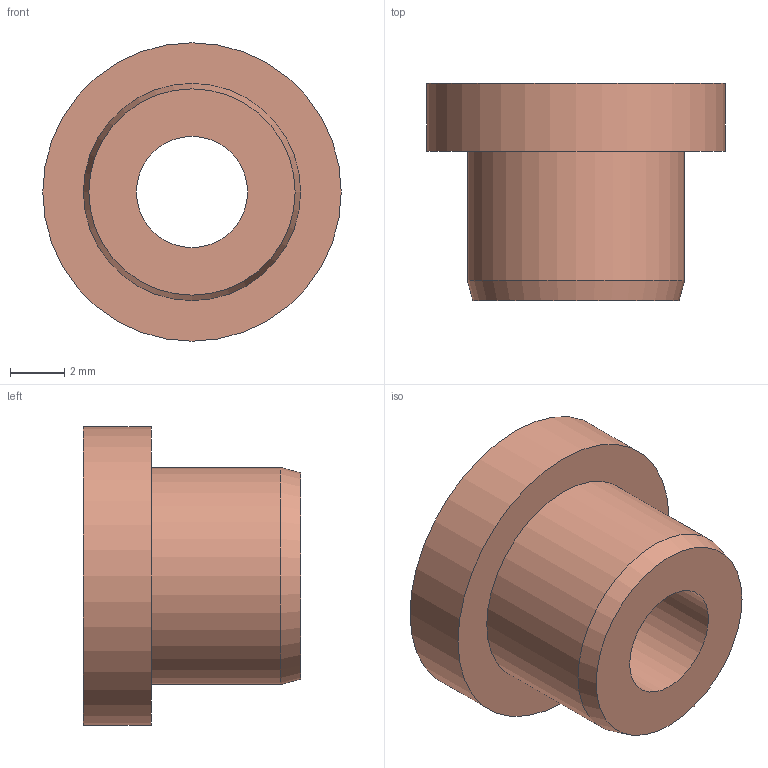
import cadquery as cq
import math

overall_length = 8.0
head_diameter = 11.0
head_thickness = 2.5
shank_diameter = 8.0
bore_diameter = 4.1
tip_diameter = 7.6
taper_angle = 15.0

shank_length = overall_length - head_thickness
taper_length = (shank_diameter - tip_diameter) / 2 / math.tan(math.radians(taper_angle))


def bushing():
    """Revolve the half section of the bushing wall about the Y axis."""
    bore_radius = bore_diameter / 2
    tip_radius = tip_diameter / 2
    shank_radius = shank_diameter / 2
    head_radius = head_diameter / 2

    tip_y = -shank_length
    half_section = (
        cq.Workplane("XY")
        .moveTo(bore_radius, tip_y)
        .lineTo(tip_radius, tip_y)
        .lineTo(shank_radius, tip_y + taper_length)
        .lineTo(shank_radius, 0)
        .lineTo(head_radius, 0)
        .lineTo(head_radius, head_thickness)
        .lineTo(bore_radius, head_thickness)
        .close()
    )
    return half_section.revolve(360, (0, 0, 0), (0, 1, 0))


result = bushing()